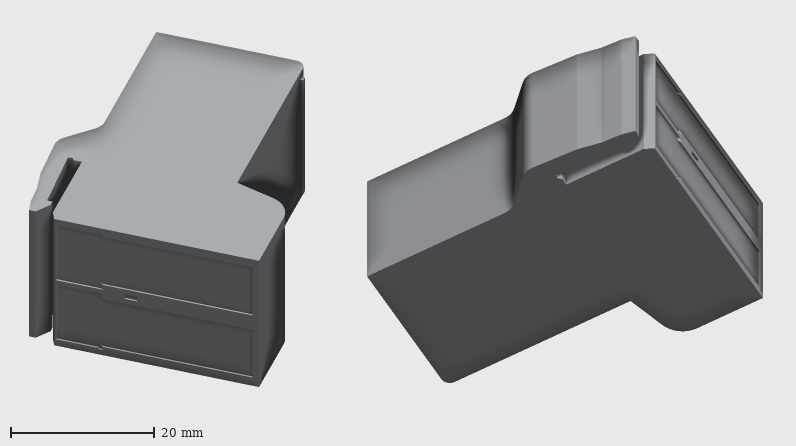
import cadquery as cq


TOTAL_WIDTH = 35.85
BODY_LENGTH = 46.0
HEIGHT = 22.0
BODY_WIDTH = 22.13
LATCH_REACH = 4.9
HEAD_RIGHT = TOTAL_WIDTH - LATCH_REACH

SHOULDER_Y = 16.3
HEAD_CORNER_Y = 13.65
HEAD_RADIUS = 4.15

REAR_RADIUS = 1.4
LEAD_IN_WIDTH = 0.7
LEAD_IN_LENGTH = 1.4

ROOT_START_Y = 23.75
ROOT_SLOPE_START_X = -0.8
ROOT_SLOPE_START_Y = 21.85
ROOT_SLOPE_DROP = 3.35
ARM_TOP_Y = 16.38
ARM_BEND_X = -4.6
ARM_BEND_Y = 9.48
GRIP_TOP_X = -3.9
GRIP_BOTTOM_X = -3.75
GRIP_TOP_Y = 5.9
GRIP_BOTTOM_Y = 2.8
TIP_LEFT_X = -3.3
TIP_RIGHT_X = -2.35
TIP_Y = 0.85
HOOK_X = -0.87
HOOK_NOSE_Y = 2.95
HOOK_LEDGE_Y = 3.75

GAP_BOTTOM_X = -1.65
GAP_TOP_X = -2.15
GAP_CORNER_Y = 14.25
PEAK_LEFT_X = -1.8
PEAK_X = -1.65
PEAK_Y = 14.4
PEAK_RIGHT_X = -1.15
GAP_END_Y = 13.9

POCKET_DEPTH = 0.28
POCKET_LEFT = 0.95
POCKET_RIGHT = 29.95
RAMP_START = 7.5
RAMP_END = 8.2
RAMP_LENGTH = RAMP_END - RAMP_START
RAMP_RADIUS = (RAMP_LENGTH**2 + POCKET_DEPTH**2) / (2 * POCKET_DEPTH)
WIDE_INNER = 0.4
WIDE_OUTER = 9.9
NARROW_INNER = 1.25
NARROW_OUTER = 9.55
RELIEF_LEFT = 7.15
RELIEF_OUTER = 10.07

KEY_LEFT = 11.05
KEY_RIGHT = 12.93
KEY_HALF_HEIGHT = WIDE_INNER

CATCH_REACH = 0.5
CATCH_FRONT_Y = 43.35
CATCH_NOSE_Y = 43.98
CATCH_REAR_Y = 44.55
CATCH_HEIGHT = 19.8
CATCH_OVERLAP = 0.45


def fillet_corner(body, x, y, radius):
    """Round the vertical edge that passes through (x, y)."""
    edge = cq.selectors.NearestToPointSelector((x, y, 0))
    return body.edges(edge).fillet(radius)


def make_body():
    """Housing and latch arm, extruded from one outline about mid height."""
    slope_end = (ROOT_SLOPE_START_X - ROOT_SLOPE_DROP, ROOT_SLOPE_START_Y - ROOT_SLOPE_DROP)
    outline = (
        cq.Workplane("XY")
        .moveTo(LEAD_IN_WIDTH, 0)
        .lineTo(HEAD_RIGHT, 0)
        .lineTo(HEAD_RIGHT, HEAD_CORNER_Y)
        .lineTo(BODY_WIDTH, SHOULDER_Y)
        .lineTo(BODY_WIDTH, BODY_LENGTH)
        .lineTo(0, BODY_LENGTH)
        .lineTo(0, ROOT_START_Y)
        .tangentArcPoint((ROOT_SLOPE_START_X, ROOT_SLOPE_START_Y), relative=False)
        .lineTo(*slope_end)
        .tangentArcPoint((-LATCH_REACH, ARM_TOP_Y), relative=False)
        .lineTo(ARM_BEND_X, ARM_BEND_Y)
        .lineTo(GRIP_TOP_X, GRIP_TOP_Y)
        .lineTo(GRIP_BOTTOM_X, GRIP_BOTTOM_Y)
        .lineTo(TIP_LEFT_X, TIP_Y)
        .lineTo(TIP_RIGHT_X, TIP_Y)
        .lineTo(HOOK_X, HOOK_NOSE_Y)
        .lineTo(HOOK_X, HOOK_LEDGE_Y)
        .lineTo(GAP_BOTTOM_X, HOOK_LEDGE_Y)
        .lineTo(GAP_TOP_X, GAP_CORNER_Y)
        .lineTo(PEAK_LEFT_X, GAP_CORNER_Y)
        .lineTo(PEAK_X, PEAK_Y)
        .lineTo(PEAK_RIGHT_X, GAP_END_Y)
        .lineTo(0, GAP_END_Y)
        .lineTo(0, LEAD_IN_LENGTH)
        .close()
    )
    body = outline.extrude(HEIGHT / 2, both=True)
    body = fillet_corner(body, HEAD_RIGHT, HEAD_CORNER_Y, HEAD_RADIUS)
    return fillet_corner(body, BODY_WIDTH, BODY_LENGTH, REAR_RADIUS)


def face_recess(x_start, x_end, z_start, z_end):
    """Rectangular block that sinks the mating face by the pocket depth."""
    size = (x_end - x_start, POCKET_DEPTH, z_end - z_start)
    return cq.Workplane("XY").box(*size, centered=False).translate((x_start, 0, z_start))


def make_pocket():
    """Cutter for the upper (+Z) pocket."""
    wide = face_recess(POCKET_LEFT, RAMP_START, WIDE_INNER, WIDE_OUTER)
    narrow = face_recess(RAMP_START, POCKET_RIGHT, NARROW_INNER, NARROW_OUTER)
    relief = face_recess(RELIEF_LEFT, RAMP_START, WIDE_OUTER, RELIEF_OUTER)
    ramp = (
        cq.Workplane("XY", origin=(0, 0, WIDE_INNER))
        .moveTo(RAMP_START, 0)
        .lineTo(RAMP_START, POCKET_DEPTH)
        .radiusArc((RAMP_END, 0), -RAMP_RADIUS)
        .close()
        .extrude(RELIEF_OUTER - WIDE_INNER)
    )
    return wide.union(narrow).union(relief).union(ramp)


def make_catch():
    """Small sloped catch that stands out from the +X wall."""
    root_x = BODY_WIDTH - CATCH_OVERLAP
    tip_x = BODY_WIDTH + CATCH_REACH
    return (
        cq.Workplane("XY")
        .moveTo(root_x, CATCH_FRONT_Y)
        .lineTo(tip_x, CATCH_FRONT_Y)
        .lineTo(tip_x, CATCH_NOSE_Y)
        .lineTo(BODY_WIDTH, CATCH_REAR_Y)
        .lineTo(root_x, CATCH_REAR_Y)
        .close()
        .extrude(CATCH_HEIGHT / 2, both=True)
    )


upper_pocket = make_pocket()
lower_pocket = upper_pocket.mirror("XY")
key_slot = face_recess(KEY_LEFT, KEY_RIGHT, -KEY_HALF_HEIGHT, KEY_HALF_HEIGHT)

result = make_body().cut(upper_pocket).cut(lower_pocket).cut(key_slot).union(make_catch())